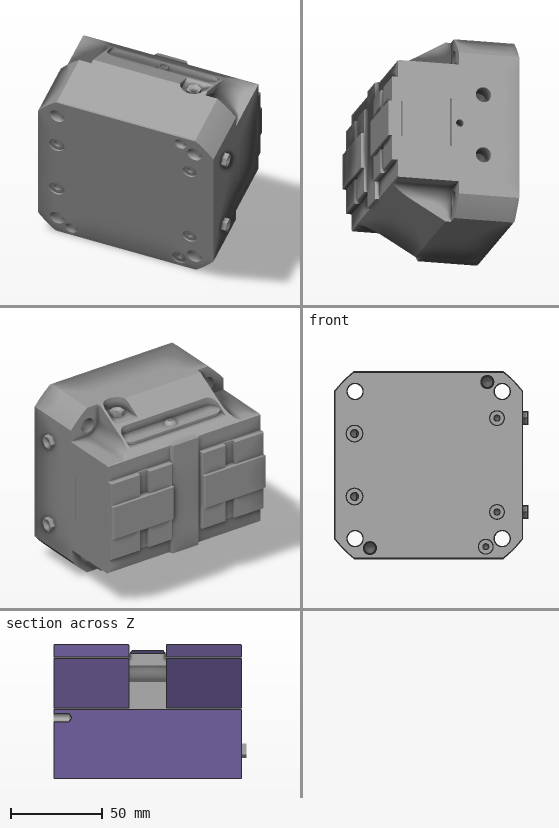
import cadquery as cq
import math

TOTAL_X = 105.0
WIDTH_X = 102.2
HEIGHT_Z = 102.0
HALF_X = WIDTH_X / 2
HALF_Z = HEIGHT_Z / 2
TURNED_DIAMETER = 130.0
FLANGE_TOP = 33.9
HOUSING_TOP = 68.1
SLOPE_START = 36.9
SLOPE_ANGLE = 30.0
EDGE_CHAMFER = 0.5
DRILL_ANGLE = 118.0

MOUNT_OFFSET = 40.0
MOUNT_DIAMETER = 8.6
CORNER_RADIUS = 6.7
CORNER_WALL = MOUNT_OFFSET - CORNER_RADIUS

DOWEL_X, DOWEL_Z = 31.9, 45.2
DOWEL_DIAMETER = 6.0
DOWEL_DEPTH = 12.0
DOWEL_CHAMFER = 0.5
SEAL_DEPTH = 1.0
SUPPLY_X, SUPPLY_Z = 40.3, 17.1
SUPPLY_SEAL, SUPPLY_DIAMETER = 9.0, 4.2
PORT_SEAL, PORT_DIAMETER = 8.0, 3.3
PORT_DEPTH = 14.7
FEED_X, FEED_Z = 37.2, 25.5
PURGE_X, PURGE_Z = 31.1, -44.4

SIDE_PORT_Y, SIDE_PORT_DIAMETER, SIDE_PORT_DEPTH = 20.1, 8.5, 12.0
LUBE_Y, LUBE_DIAMETER, LUBE_DEPTH = 33.3, 4.2, 8.4

JAW_INNER = 10.1
JAW_LENGTH = HALF_X - JAW_INNER
JAW_TOP, JAW_BOTTOM = 71.4, 38.4
NECK_HALF, WING_HALF, STEM_HALF = 23.6, 29.2, 13.4
WING_TOP, WING_BOTTOM = 61.5, 52.6
JAW_CLEARANCE = 0.5
JAW_CHAMFER = 0.3
CROSS_SLOT_WIDTH, CROSS_SLOT_DEPTH = 6.3, 2.3
CROSS_SLOT_X = 28.7
KEY_HALF = 9.9
KEY_TOP, KEY_BOTTOM = 73.3, 66.2
KEY_CLEARANCE = 0.5
KEY_CHAMFER = 0.5

COVER_HALF_WIDTH, COVER_TOP = 9.6, 70.0
COVER_BEVEL_X, COVER_BEVEL_Y = 1.3, 1.6

PLATE_HALF_LENGTH = 31.9
PLATE_BOTTOM_Y, PLATE_WIDTH = 50.5, 10.0
PLATE_Y = PLATE_BOTTOM_Y + PLATE_WIDTH / 2
PLATE_POCKET_TOP = 62.9
PLATE_THICKNESS = 2.0
BUTTON_DIAMETER, BUTTON_HEIGHT = 7.6, 2.2
SOCKET_DIAMETER, SOCKET_DEPTH = 3.5, 1.3

NIPPLE_FLATS, NIPPLE_FUNNEL = 6.9, 5.9
NIPPLE_HEIGHT = TOTAL_X - WIDTH_X
NIPPLE_Y, NIPPLE_Z = 15.1, 25.5
NIPPLE_POCKET_X, NIPPLE_POCKET_Y = 24.4, 39.6
NIPPLE_POCKET_WIDTH, NIPPLE_POCKET_TOP = 15.0, 48.7


def slope_z(y):
    """Height of the +Z roof slope at the given Y."""
    return HALF_Z - (y - SLOPE_START) * math.tan(math.radians(SLOPE_ANGLE))


def block(x, y, z):
    """Box given by its (low, high) limits on each axis."""
    size = [high - low for low, high in (x, y, z)]
    return cq.Workplane("XY").box(*size, centered=False).translate((x[0], y[0], z[0]))


def cylinder(start, direction, diameter, length):
    return cq.Workplane(
        cq.Solid.makeCylinder(diameter / 2, length, cq.Vector(*start), cq.Vector(*direction))
    )


def drill_point(start, direction, diameter):
    """Cone that narrows from the given diameter to a drill tip."""
    tip = diameter / 2 / math.tan(math.radians(DRILL_ANGLE / 2))
    return cq.Workplane(
        cq.Solid.makeCone(diameter / 2, 0, tip, cq.Vector(*start), cq.Vector(*direction))
    )


def drilled(start, direction, diameter, depth):
    """Blind hole with a drill-point bottom."""
    bottom = [place + depth * step for place, step in zip(start, direction)]
    shaft = cylinder(start, direction, diameter, depth)
    return shaft.union(drill_point(bottom, direction, diameter))


def jaw_section(clearance, top):
    """Closed T profile of a jaw in the YZ plane, its stem made deeper by the clearance."""
    half_outline = [
        (top, NECK_HALF), (WING_TOP, NECK_HALF), (WING_TOP, WING_HALF),
        (WING_BOTTOM, WING_HALF), (WING_BOTTOM, STEM_HALF), (JAW_BOTTOM - clearance, STEM_HALF),
    ]
    mirrored = [(y, -z) for y, z in reversed(half_outline)]
    return cq.Workplane("YZ").polyline(half_outline + mirrored).close()



def housing_blank():
    roof_end = slope_z(HOUSING_TOP)
    upper = [
        (0, HALF_Z - EDGE_CHAMFER), (EDGE_CHAMFER, HALF_Z),
        (SLOPE_START, HALF_Z), (HOUSING_TOP, roof_end),
    ]
    lower = [(y, -z) for y, z in reversed(upper)]
    blank = cq.Workplane("YZ").polyline(upper + lower).close().extrude(HALF_X, both=True)
    turned = cylinder((0, 0, 0), (0, 1, 0), TURNED_DIAMETER, HOUSING_TOP)
    return blank.intersect(turned)


def cut_corners(body):
    """Open the four corners above the flange and drill the mounting holes."""
    for side_x in (-1, 1):
        for side_z in (-1, 1):
            corner = block((CORNER_WALL, HALF_X), (FLANGE_TOP, HOUSING_TOP), (CORNER_WALL, HALF_Z))
            corner = corner.edges("|Y and <X and <Z").fillet(CORNER_RADIUS)
            if side_x < 0:
                corner = corner.mirror("YZ")
            if side_z < 0:
                corner = corner.mirror("XY")
            hole_start = (side_x * MOUNT_OFFSET, 0, side_z * MOUNT_OFFSET)
            body = body.cut(corner)
            body = body.cut(cylinder(hole_start, (0, 1, 0), MOUNT_DIAMETER, FLANGE_TOP))
    return body


def cut_mounting_face(body):
    inward = (0, 1, 0)
    for x, z in ((DOWEL_X, DOWEL_Z), (-DOWEL_X, -DOWEL_Z)):
        mouth = cq.Solid.makeCone(
            DOWEL_DIAMETER / 2 + DOWEL_CHAMFER, DOWEL_DIAMETER / 2, DOWEL_CHAMFER,
            cq.Vector(x, 0, z), cq.Vector(*inward),
        )
        body = body.cut(drilled((x, 0, z), inward, DOWEL_DIAMETER, DOWEL_DEPTH))
        body = body.cut(cq.Workplane(mouth))
    for z in (-SUPPLY_Z, SUPPLY_Z):
        body = body.cut(cylinder((-SUPPLY_X, 0, z), inward, SUPPLY_SEAL, SEAL_DEPTH))
        body = body.cut(cylinder((-SUPPLY_X, 0, z), inward, SUPPLY_DIAMETER, SIDE_PORT_Y))
    for x, z in ((FEED_X, FEED_Z), (FEED_X, -FEED_Z), (PURGE_X, PURGE_Z)):
        body = body.cut(cylinder((x, 0, z), inward, PORT_SEAL, SEAL_DEPTH))
        body = body.cut(drilled((x, 0, z), inward, PORT_DIAMETER, PORT_DEPTH))
    return body


def cut_side_holes(body):
    inward = (1, 0, 0)
    for z in (-SUPPLY_Z, SUPPLY_Z):
        body = body.cut(drilled((-HALF_X, SIDE_PORT_Y, z), inward, SIDE_PORT_DIAMETER, SIDE_PORT_DEPTH))
    return body.cut(drilled((-HALF_X, LUBE_Y, 0), inward, LUBE_DIAMETER, LUBE_DEPTH))


def plate_outline(z):
    """Stadium outline of the clamp plate on a level plane."""
    return cq.Workplane("XY", origin=(0, PLATE_Y, z)).slot2D(2 * PLATE_HALF_LENGTH, PLATE_WIDTH)


def cut_plate_pocket(body):
    floor = slope_z(PLATE_POCKET_TOP)
    shelf = block((-PLATE_HALF_LENGTH, PLATE_HALF_LENGTH), (PLATE_Y, PLATE_POCKET_TOP), (floor, HALF_Z))
    return body.cut(plate_outline(floor).extrude(HALF_Z - floor)).cut(shelf)


def cut_nipple_pocket(body):
    floor = slope_z(NIPPLE_POCKET_TOP)
    half_width = NIPPLE_POCKET_WIDTH / 2
    start = (NIPPLE_POCKET_X, NIPPLE_POCKET_Y, floor)
    round_end = cylinder(start, (0, 0, 1), NIPPLE_POCKET_WIDTH, HALF_Z - floor)
    open_end = block(
        (NIPPLE_POCKET_X - half_width, NIPPLE_POCKET_X + half_width),
        (NIPPLE_POCKET_Y, NIPPLE_POCKET_TOP), (floor, HALF_Z),
    )
    return body.cut(round_end).cut(open_end)


def make_housing():
    body = cut_corners(housing_blank())
    body = cut_mounting_face(body)
    body = cut_side_holes(body)
    body = cut_plate_pocket(body)
    body = cut_nipple_pocket(body)
    jaw_guide = jaw_section(JAW_CLEARANCE, HOUSING_TOP).extrude(HALF_X, both=True)
    return body.cut(jaw_guide)



def make_jaw(side):
    jaw = jaw_section(0, JAW_TOP).extrude(JAW_LENGTH).translate((JAW_INNER, 0, 0))
    jaw = jaw.faces(">Y").edges().chamfer(JAW_CHAMFER)
    jaw = jaw.cut(block(
        (CROSS_SLOT_X - CROSS_SLOT_WIDTH / 2, CROSS_SLOT_X + CROSS_SLOT_WIDTH / 2),
        (JAW_TOP - CROSS_SLOT_DEPTH, JAW_TOP), (-NECK_HALF, NECK_HALF),
    ))
    jaw = jaw.cut(block((JAW_INNER, HALF_X), (KEY_BOTTOM - KEY_CLEARANCE, JAW_TOP), (-KEY_HALF, KEY_HALF)))
    return jaw if side > 0 else jaw.mirror("YZ")


def make_key(side):
    key = block((JAW_INNER, HALF_X), (KEY_BOTTOM, KEY_TOP), (-KEY_HALF, KEY_HALF))
    key = key.faces(">Y").edges("|Z").chamfer(KEY_CHAMFER)
    return key if side > 0 else key.mirror("YZ")


def make_cover():
    bevel_start = COVER_TOP - COVER_BEVEL_Y
    flat_half = COVER_HALF_WIDTH - COVER_BEVEL_X
    profile = [
        (-COVER_HALF_WIDTH, HOUSING_TOP), (COVER_HALF_WIDTH, HOUSING_TOP), (COVER_HALF_WIDTH, bevel_start),
        (flat_half, COVER_TOP), (-flat_half, COVER_TOP), (-COVER_HALF_WIDTH, bevel_start),
    ]
    return cq.Workplane("XY").polyline(profile).close().extrude(CORNER_WALL, both=True)



def domed_head():
    """Screw head standing on Z = 0, domed from its rim to the mouth of its round socket."""
    radius, socket_radius = BUTTON_DIAMETER / 2, SOCKET_DIAMETER / 2
    centre = (BUTTON_HEIGHT**2 + socket_radius**2 - radius**2) / (2 * BUTTON_HEIGHT)
    sphere_radius = math.hypot(radius, centre)
    middle = BUTTON_HEIGHT / 2
    dome_point = (math.sqrt(sphere_radius**2 - (middle - centre)**2), middle)
    socket_floor = BUTTON_HEIGHT - SOCKET_DEPTH
    return (
        cq.Workplane("XZ").lineTo(radius, 0)
        .threePointArc(dome_point, (socket_radius, BUTTON_HEIGHT))
        .lineTo(socket_radius, socket_floor).lineTo(0, socket_floor)
        .close().revolve(360, (0, 0), (0, 1))
    )


def make_clamp_plate():
    floor = slope_z(PLATE_POCKET_TOP)
    plate = plate_outline(floor).extrude(PLATE_THICKNESS)
    return plate.union(domed_head().translate((0, PLATE_Y, floor + PLATE_THICKNESS)))


def make_nipple():
    """Nipple standing on Z = 0, with two corners of the hexagon along Y."""
    corners = NIPPLE_FLATS / math.cos(math.radians(30))
    hexagon = cq.Workplane("XY").polygon(6, corners).extrude(NIPPLE_HEIGHT)
    hexagon = hexagon.rotate((0, 0, 0), (0, 0, 1), 90)
    return hexagon.cut(drill_point((0, 0, NIPPLE_HEIGHT), (0, 0, -1), NIPPLE_FUNNEL))


def place_nipples():
    upright = make_nipple()
    sideways = upright.rotate((0, 0, 0), (0, 1, 0), 90)
    pocket_place = (NIPPLE_POCKET_X, NIPPLE_POCKET_Y, slope_z(NIPPLE_POCKET_TOP))
    side_nipples = [sideways.translate((HALF_X, NIPPLE_Y, z)) for z in (-NIPPLE_Z, NIPPLE_Z)]
    return [*side_nipples, upright.translate(pocket_place)]


housing = make_housing()
jaws = [make_jaw(side) for side in (-1, 1)]
keys = [make_key(side) for side in (-1, 1)]
cover = make_cover()
clamp_plate = make_clamp_plate()
nipples = place_nipples()

bodies = [housing, *jaws, *keys, cover, clamp_plate, *nipples]
result = cq.Compound.makeCompound([body.solids().val() for body in bodies])